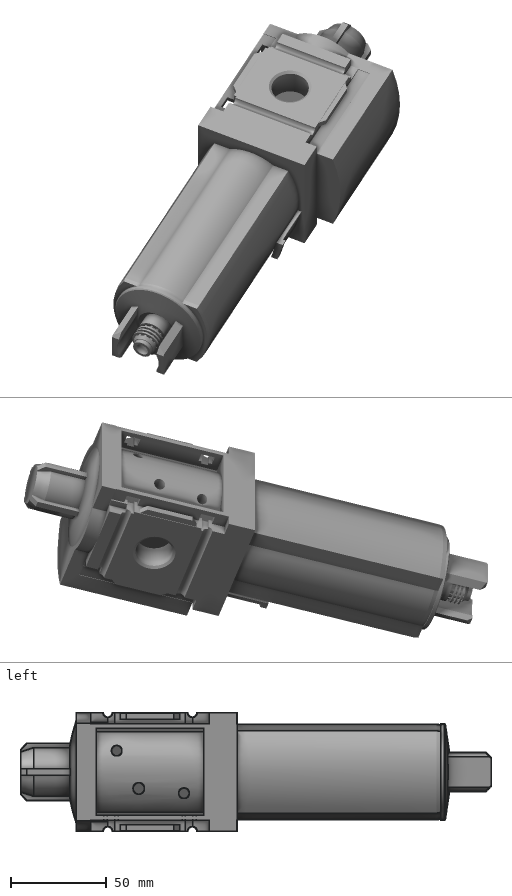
import cadquery as cq


OVERALL_LENGTH = 245.83
HALF = 31.0
LEDGE_HALF_Z = 25.2
PLATE_HALF_Z = 25.5
PLATE_TOP_Y = 38.6
COLLAR_BOTTOM_Y = -45.4
COVER_FLAT_X = 40.4
COVER_X = 44.8
BULGE_HALF_X = 15.0

PORT_BLOCK_LEFT_X = -23.6
PORT_BLOCK_RIGHT_X = 24.4
LIP_HALF_X = 19.9
LIP_START_Y = 22.2
CORNER_STEP_Z = 26.0
GROOVE_Y = 22.1
GROOVE_HALF_WIDTH = 2.4
GROOVE_DEPTH = 2.4
PORT_DIAMETER = 19.5
PORT_RIM_DIAMETER = 22.2
PORT_RIM_DEPTH = 1.0
PORT_DEPTH = 15.0

LEFT_TAB_REACH = 3.4
RIGHT_TAB_REACH = 2.6
TAB_ROOT_HALF_Y = 15.5
TAB_TIP_HALF_Y = 12.3
TAB_BOTTOM_Z = 27.6
TAB_TOP_Z = 30.7

WINDOW_HALF_Y = 28.0
WINDOW_HALF_Z = 22.7
WINDOW_FLOOR_X = -20.0
CORE_RADIUS = 29.0
CORE_HOLE_FLOOR_X = -14.0
CORE_HOLES = [(17.4, 11.1, 5.5), (5.9, -8.6, 6.0), (-17.7, -11.1, 5.5)]

CLAMP_Y = 20.4
CLAMP_LEFT_X = -28.3
CLAMP_NECK_X = -22.2
CLAMP_HALF_WIDTH = 3.7
CLAMP_NECK_HALF_WIDTH = 1.9

DOME_RADIUS = 26.6
DOME_HEIGHT = 4.4
KNOB_RADIUS = 12.8
KNOB_TIP_RADIUS = 10.6
KNOB_BEVEL_Y = 60.7
KNOB_END_Y = 67.6
KNOB_RIB_COUNT = 4
KNOB_RIB_WIDTH = 3.4
KNOB_RIB_RADIUS = 15.0
KNOB_RIB_TIP_RADIUS = 11.5
KNOB_RIB_BEVEL_Y = 64.4

BOWL_RADIUS = 25.0
BOWL_SIDE_X = 27.8
BOWL_FLAT_X = 21.5
BOWL_FLAT_Z = 21.5
BOWL_TAPER_START_Y = -149.6
BOWL_TAPER_ANGLE = 10.0
BOWL_END_Y = -151.8
RIM_DIAMETER = 50.36
RIM_END_Y = -154.2
RIM_STEP = 0.5
BOWL_CAP_END_Y = -156.3
DRAIN_RECESS_RADIUS = 10.5
DRAIN_RECESS_FLOOR_Y = -154.4

GUARD_OUTER_X = 15.0
GUARD_INNER_X = 11.0
GUARD_OUTER_HALF_Z = 8.0
GUARD_INNER_HALF_Z = 10.2
GUARD_RELIEF_RADIUS = 12.2
GUARD_END_Y = KNOB_END_Y - OVERALL_LENGTH
GUARD_CORNER = 3.0

LATCH_END_Y = -70.5
LATCH_LIP_LENGTH = 3.5
LATCH_TOP = (27.2, -6.8)
LATCH_BOTTOM = (24.0, -19.8)
LATCH_THICKNESS = 2.0
LATCH_LIP_THICKNESS = 3.6

STEM_DIAMETER = 15.8
STEM_END_Y = -161.6
BARB_CORE_DIAMETER = 11.8
BARB_RIDGE_DIAMETER = 13.3
BARB_END_Y = -169.6
BARB_RING_COUNT = 3
BARB_RING_WIDTH = 0.9
BARB_RING_PITCH = 2.1
BARB_RIDGE_COUNT = 12
BARB_RIDGE_WIDTH = 1.2
NOZZLE_SHOULDER_DIAMETER = 11.0
NOZZLE_SHOULDER_Y = -171.2
NOZZLE_DIAMETER = 10.2
NOZZLE_END_Y = -173.4
NOZZLE_BORE_DIAMETER = 7.0


def box(x0, x1, y0, y1, z0, z1):
    return cq.Workplane("XY").box(x1 - x0, y1 - y0, z1 - z0, centered=False).translate((x0, y0, z0))


def cylinder_y(diameter, y0, y1):
    return cq.Workplane("XZ", origin=(0, y0, 0)).circle(diameter / 2).extrude(y0 - y1)


def section_y(sketch, y0, y1):
    """Extrude an XZ sketch, drawn on the plane Y = 0, from y0 to y1."""
    return sketch.extrude(y0 - y1).translate((0, y0, 0))


def both_z(solid):
    return solid.union(solid.mirror("XY"))


def turned(outline):
    """Revolve a closed (radius, Y) outline about the Y axis."""
    return outline.close().revolve(360, (0, 0, 0), (0, 1, 0))


def frame():
    body = box(-HALF, HALF, COLLAR_BOTTOM_Y, -HALF, -HALF, HALF)
    body = body.union(box(-HALF, HALF, -HALF, HALF, -LEDGE_HALF_Z, LEDGE_HALF_Z))
    body = body.union(box(-HALF, HALF, HALF, PLATE_TOP_Y, -PLATE_HALF_Z, PLATE_HALF_Z))
    cover = (
        cq.Workplane("XZ")
        .moveTo(HALF, -PLATE_HALF_Z)
        .lineTo(COVER_FLAT_X, -PLATE_HALF_Z)
        .threePointArc((COVER_X, 0), (COVER_FLAT_X, PLATE_HALF_Z))
        .lineTo(HALF, PLATE_HALF_Z)
        .close()
    )
    body = body.union(section_y(cover, -HALF, PLATE_TOP_Y))
    bulge = (
        cq.Workplane("XZ")
        .moveTo(-BULGE_HALF_X, 0)
        .lineTo(-BULGE_HALF_X, PLATE_HALF_Z)
        .threePointArc((0, HALF), (BULGE_HALF_X, PLATE_HALF_Z))
        .lineTo(BULGE_HALF_X, 0)
        .close()
    )
    return body.union(both_z(section_y(bulge, HALF, PLATE_TOP_Y)))


def side_tab(root_x, tip_x):
    outline = [
        (root_x, -TAB_ROOT_HALF_Y),
        (tip_x, -TAB_TIP_HALF_Y),
        (tip_x, TAB_TIP_HALF_Y),
        (root_x, TAB_ROOT_HALF_Y),
    ]
    tab = cq.Workplane("XY", origin=(0, 0, TAB_BOTTOM_Z)).polyline(outline).close()
    return tab.extrude(TAB_TOP_Z - TAB_BOTTOM_Z)


def cross_groove(center_y):
    groove = (
        cq.Workplane("YZ", origin=(-HALF, 0, 0))
        .moveTo(center_y - GROOVE_HALF_WIDTH, HALF)
        .threePointArc((center_y, HALF - GROOVE_DEPTH), (center_y + GROOVE_HALF_WIDTH, HALF))
        .close()
    )
    return groove.extrude(2 * HALF)


def port_block():
    block = box(PORT_BLOCK_LEFT_X, PORT_BLOCK_RIGHT_X, -HALF, LIP_START_Y, 0, HALF)
    block = block.union(box(PORT_BLOCK_LEFT_X, PORT_BLOCK_RIGHT_X, LIP_START_Y, HALF, 0, CORNER_STEP_Z))
    block = block.union(box(-LIP_HALF_X, LIP_HALF_X, LIP_START_Y, HALF, 0, HALF))
    for center_y in (-GROOVE_Y, GROOVE_Y):
        block = block.cut(cross_groove(center_y))
    block = block.union(side_tab(PORT_BLOCK_LEFT_X, PORT_BLOCK_LEFT_X - LEFT_TAB_REACH))
    return block.union(side_tab(PORT_BLOCK_RIGHT_X, PORT_BLOCK_RIGHT_X + RIGHT_TAB_REACH))


def port():
    bore = cq.Workplane("XY", origin=(0, 0, HALF - PORT_DEPTH)).circle(PORT_DIAMETER / 2).extrude(PORT_DEPTH)
    rim = (
        cq.Workplane("XY", origin=(0, 0, HALF))
        .circle(PORT_RIM_DIAMETER / 2)
        .workplane(offset=-PORT_RIM_DEPTH)
        .circle(PORT_DIAMETER / 2)
        .loft()
    )
    return bore.union(rim)


def window():
    opening = box(-HALF, WINDOW_FLOOR_X, -WINDOW_HALF_Y, WINDOW_HALF_Y, -WINDOW_HALF_Z, WINDOW_HALF_Z)
    pocket = opening.cut(cylinder_y(2 * CORE_RADIUS, -WINDOW_HALF_Y, WINDOW_HALF_Y))
    for y, z, diameter in CORE_HOLES:
        hole = cq.Workplane("YZ", origin=(-CORE_RADIUS, y, z)).circle(diameter / 2)
        pocket = pocket.union(hole.extrude(CORE_RADIUS + CORE_HOLE_FLOOR_X))
    return pocket


def clamp_slot(center_y):
    head = box(
        CLAMP_LEFT_X, PORT_BLOCK_LEFT_X,
        center_y - CLAMP_HALF_WIDTH, center_y + CLAMP_HALF_WIDTH,
        WINDOW_HALF_Z, LEDGE_HALF_Z,
    )
    neck = box(
        PORT_BLOCK_LEFT_X, CLAMP_NECK_X,
        center_y - CLAMP_NECK_HALF_WIDTH, center_y + CLAMP_NECK_HALF_WIDTH,
        WINDOW_HALF_Z, HALF,
    )
    return head.union(neck)


def knob():
    sphere_radius = (DOME_RADIUS ** 2 + DOME_HEIGHT ** 2) / (2 * DOME_HEIGHT)
    dome = turned(
        cq.Workplane("XY")
        .moveTo(0, PLATE_TOP_Y)
        .lineTo(DOME_RADIUS, PLATE_TOP_Y)
        .radiusArc((0, PLATE_TOP_Y + DOME_HEIGHT), -sphere_radius)
    )
    grip = turned(
        cq.Workplane("XY").polyline([
            (0, PLATE_TOP_Y),
            (KNOB_RADIUS, PLATE_TOP_Y),
            (KNOB_RADIUS, KNOB_BEVEL_Y),
            (KNOB_TIP_RADIUS, KNOB_END_Y),
            (0, KNOB_END_Y),
        ])
    )
    rib = (
        cq.Workplane("XY", origin=(0, 0, -KNOB_RIB_WIDTH / 2))
        .polyline([
            (0, PLATE_TOP_Y),
            (KNOB_RIB_RADIUS, PLATE_TOP_Y),
            (KNOB_RIB_RADIUS, KNOB_RIB_BEVEL_Y),
            (KNOB_RIB_TIP_RADIUS, KNOB_END_Y),
            (0, KNOB_END_Y),
        ])
        .close()
        .extrude(KNOB_RIB_WIDTH)
    )
    for i in range(KNOB_RIB_COUNT):
        grip = grip.union(rib.rotate((0, 0, 0), (0, 1, 0), i * 360 / KNOB_RIB_COUNT))
    return dome.union(grip)


def guard():
    sketch = cq.Workplane("XZ").polyline([
        (-GUARD_OUTER_X, -GUARD_OUTER_HALF_Z),
        (-GUARD_INNER_X, -GUARD_INNER_HALF_Z),
        (-GUARD_INNER_X, GUARD_INNER_HALF_Z),
        (-GUARD_OUTER_X, GUARD_OUTER_HALF_Z),
    ]).close()
    blade = section_y(sketch, RIM_END_Y, GUARD_END_Y)
    blade = blade.cut(cylinder_y(2 * GUARD_RELIEF_RADIUS, BOWL_CAP_END_Y, GUARD_END_Y))
    tip = (
        cq.Workplane("YZ")
        .rect(2 * abs(GUARD_END_Y), 2 * GUARD_INNER_HALF_Z)
        .extrude(-HALF)
        .edges("<Y and |X")
        .chamfer(GUARD_CORNER)
    )
    return blade.intersect(tip)


def latch():
    """Slanted locking strip along the lower right side of the bowl, with a raised lip at its end."""
    def strip(thickness, y0, y1):
        sketch = cq.Workplane("XZ").polyline([
            LATCH_TOP,
            (LATCH_TOP[0] + thickness, LATCH_TOP[1]),
            (LATCH_BOTTOM[0] + thickness, LATCH_BOTTOM[1]),
            LATCH_BOTTOM,
        ]).close()
        return section_y(sketch, y0, y1)

    lip = strip(LATCH_LIP_THICKNESS, LATCH_END_Y, LATCH_END_Y + LATCH_LIP_LENGTH)
    return lip.union(strip(LATCH_THICKNESS, LATCH_END_Y, COLLAR_BOTTOM_Y))


def tapered_bowl_part(sketch):
    """Straight bowl section with a short tapered foot."""
    straight = section_y(sketch, COLLAR_BOTTOM_Y, BOWL_TAPER_START_Y)
    foot = straight.faces("<Y").wires().toPending().workplane()
    return foot.extrude(BOWL_TAPER_START_Y - BOWL_END_Y, taper=BOWL_TAPER_ANGLE)


def bowl():
    body = tapered_bowl_part(cq.Workplane("XZ").circle(BOWL_RADIUS))
    sides = (
        cq.Workplane("XZ")
        .moveTo(-BOWL_FLAT_X, -BOWL_FLAT_Z)
        .lineTo(BOWL_FLAT_X, -BOWL_FLAT_Z)
        .threePointArc((BOWL_SIDE_X, 0), (BOWL_FLAT_X, BOWL_FLAT_Z))
        .lineTo(-BOWL_FLAT_X, BOWL_FLAT_Z)
        .threePointArc((-BOWL_SIDE_X, 0), (-BOWL_FLAT_X, -BOWL_FLAT_Z))
        .close()
    )
    body = body.union(tapered_bowl_part(sides))
    rim_radius = RIM_DIAMETER / 2
    cap = turned(
        cq.Workplane("XY").polyline([
            (0, BOWL_END_Y),
            (rim_radius, BOWL_END_Y),
            (rim_radius, RIM_END_Y + RIM_STEP),
            (rim_radius - RIM_STEP, RIM_END_Y),
            (DRAIN_RECESS_RADIUS, BOWL_CAP_END_Y),
            (0, BOWL_CAP_END_Y),
        ])
    )
    body = body.union(cap).union(guard()).union(guard().mirror("YZ"))
    body = body.union(latch())
    return body.cut(cylinder_y(2 * DRAIN_RECESS_RADIUS, DRAIN_RECESS_FLOOR_Y, BOWL_CAP_END_Y))


def housing():
    body = frame().union(both_z(port_block()))
    body = body.cut(window())
    body = body.cut(both_z(port()))
    for center_y in (-CLAMP_Y, CLAMP_Y):
        body = body.cut(both_z(clamp_slot(center_y)))
    return body.union(knob()).union(bowl())


def drain_fitting():
    body = cylinder_y(STEM_DIAMETER, DRAIN_RECESS_FLOOR_Y, STEM_END_Y)
    body = body.union(cylinder_y(BARB_CORE_DIAMETER, STEM_END_Y, BARB_END_Y))
    shoulder = turned(
        cq.Workplane("XY").polyline([
            (0, BARB_END_Y),
            (BARB_RIDGE_DIAMETER / 2, BARB_END_Y),
            (NOZZLE_SHOULDER_DIAMETER / 2, NOZZLE_SHOULDER_Y),
            (0, NOZZLE_SHOULDER_Y),
        ])
    )
    body = body.union(shoulder)
    body = body.union(cylinder_y(NOZZLE_DIAMETER, NOZZLE_SHOULDER_Y, NOZZLE_END_Y))
    for i in range(BARB_RING_COUNT):
        ring_y = STEM_END_Y - (i + 1) * BARB_RING_PITCH
        body = body.union(cylinder_y(STEM_DIAMETER, ring_y, ring_y - BARB_RING_WIDTH))
    half = BARB_RIDGE_WIDTH / 2
    ridge = box(0, BARB_RIDGE_DIAMETER / 2, BARB_END_Y, STEM_END_Y, -half, half)
    for i in range(BARB_RIDGE_COUNT):
        body = body.union(ridge.rotate((0, 0, 0), (0, 1, 0), i * 360 / BARB_RIDGE_COUNT))
    return body.cut(cylinder_y(NOZZLE_BORE_DIAMETER, STEM_END_Y, NOZZLE_END_Y))


result = cq.Compound.makeCompound([housing().val(), drain_fitting().val()])